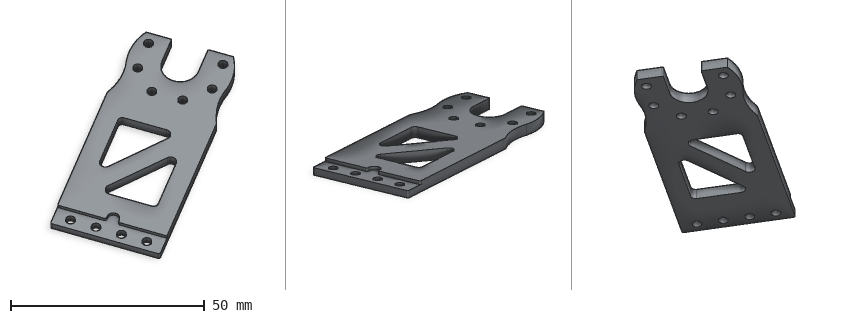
import cadquery as cq
import math

length = 65.8
width = 30.0
thickness = 3.0
half_width = width / 2
hole_diameter = 2.5
small_radius = 0.5
pick_margin = 0.05

shoulder_y = 44.15
shoulder_radius = 3.0
head_tip_x = 12.0
head_bulge = (14.0, 58.55)
head_inflection = (13.75, 55.5)
waist = (13.2, 51.45)

slot_radius = 5.0
slot_center_y = 58.3
slot_mouth_radius = 0.3

window_middle_y = 25.5
window_left = -9.4
window_top = 37.8
window_right = 5.05
window_bottom = 21.1
window_tip_radius = 1.5
window_square_radius = 1.25

foot_length = 5.45
foot_thickness = 2.05
notch_radius = 1.65
notch_center_y = 6.3

foot_hole_y = 2.75
foot_hole_pitch = 7.0
foot_hole_count = 4
fork_hole_x = 10.2
fork_hole_rows = (62.6, 54.15)
throat_hole_x = 4.2
throat_hole_y = 48.2


def mirrored(point):
    return (-point[0], point[1])


def make_plate():
    """Full-thickness plate with the curved head."""
    shoulder = (half_width, shoulder_y)
    head_tip = (head_tip_x, length)
    plate = (
        cq.Workplane("XY")
        .moveTo(-half_width, 0)
        .lineTo(half_width, 0)
        .lineTo(*shoulder)
        .threePointArc(waist, head_inflection)
        .threePointArc(head_bulge, head_tip)
        .lineTo(*mirrored(head_tip))
        .threePointArc(mirrored(head_bulge), mirrored(head_inflection))
        .threePointArc(mirrored(waist), mirrored(shoulder))
        .close()
        .extrude(thickness)
    )
    shoulder_band = cq.selectors.BoxSelector(
        (-width, shoulder_y - pick_margin, 0), (width, shoulder_y + pick_margin, thickness)
    )
    plate = plate.edges("|Z").edges(shoulder_band).fillet(shoulder_radius)
    return plate.edges("|Z and <Y").fillet(small_radius)


def make_slot():
    """Round-ended fork slot with eased mouth corners."""
    mouth_half = slot_radius + slot_mouth_radius
    mouth_y = length - slot_mouth_radius
    ease = slot_mouth_radius * (1 - math.sqrt(0.5))
    return (
        cq.Workplane("XY")
        .moveTo(-mouth_half, length)
        .threePointArc((-slot_radius - ease, length - ease), (-slot_radius, mouth_y))
        .lineTo(-slot_radius, slot_center_y)
        .threePointArc((0, slot_center_y - slot_radius), (slot_radius, slot_center_y))
        .lineTo(slot_radius, mouth_y)
        .threePointArc((slot_radius + ease, length - ease), (mouth_half, length))
        .close()
        .extrude(thickness)
    )


def make_window():
    """Upper-left triangular window with rounded corners."""
    run = window_right - window_left - 2 * window_tip_radius
    rise = window_top - window_bottom - 2 * window_tip_radius
    slope_length = math.hypot(run, rise)
    top_reach = window_tip_radius * (slope_length + run) / rise
    side_reach = window_tip_radius * (slope_length + rise) / run
    sharp_right = window_right - window_tip_radius + top_reach
    sharp_bottom = window_bottom + window_tip_radius - side_reach
    window = (
        cq.Workplane("XY")
        .polyline([(window_left, window_top), (sharp_right, window_top), (window_left, sharp_bottom)])
        .close()
        .extrude(thickness)
    )
    window = window.edges("|Z and >X").fillet(window_tip_radius)
    window = window.edges("|Z and <Y").fillet(window_tip_radius)
    return window.edges("|Z and <X and >Y").fillet(window_square_radius)


def make_foot_recess():
    """Material removed above the foot: a strip plus the notch with flared mouth."""
    height = thickness - foot_thickness
    strip = (
        cq.Workplane("XY", origin=(0, 0, foot_thickness))
        .rect(2 * width, 2 * foot_length)
        .extrude(height)
    )
    notch = (
        cq.Workplane("XY", origin=(0, 0, foot_thickness))
        .moveTo(-notch_radius, 0)
        .lineTo(-notch_radius, notch_center_y)
        .threePointArc((0, notch_center_y + notch_radius), (notch_radius, notch_center_y))
        .lineTo(notch_radius, 0)
        .close()
        .extrude(height)
    )
    recess = strip.union(notch)
    mouth = cq.selectors.BoxSelector(
        (-notch_radius - pick_margin, foot_length - pick_margin, 0),
        (notch_radius + pick_margin, foot_length + pick_margin, thickness),
    )
    return recess.edges("|Z").edges(mouth).fillet(small_radius)


def round_step_corners(plate):
    """Round the outer vertical corners of the raised step."""
    corners = cq.selectors.BoxSelector(
        (-width, foot_length - pick_margin, foot_thickness), (width, foot_length + pick_margin, thickness)
    )
    edges = plate.edges("|Z").edges(corners)
    return edges.edges("<X or >X").fillet(small_radius)


def make_holes():
    """All through holes."""
    first_x = -foot_hole_pitch * (foot_hole_count - 1) / 2
    centers = [(first_x + i * foot_hole_pitch, foot_hole_y) for i in range(foot_hole_count)]
    for side in (-1, 1):
        centers += [(side * fork_hole_x, y) for y in fork_hole_rows]
        centers.append((side * throat_hole_x, throat_hole_y))
    return cq.Workplane("XY").pushPoints(centers).circle(hole_diameter / 2).extrude(thickness)


window = make_window()
opposite_window = window.rotate((0, window_middle_y, 0), (0, window_middle_y, 1), 180)

result = make_plate().cut(make_slot()).cut(window).cut(opposite_window).cut(make_foot_recess())
result = round_step_corners(result).cut(make_holes())